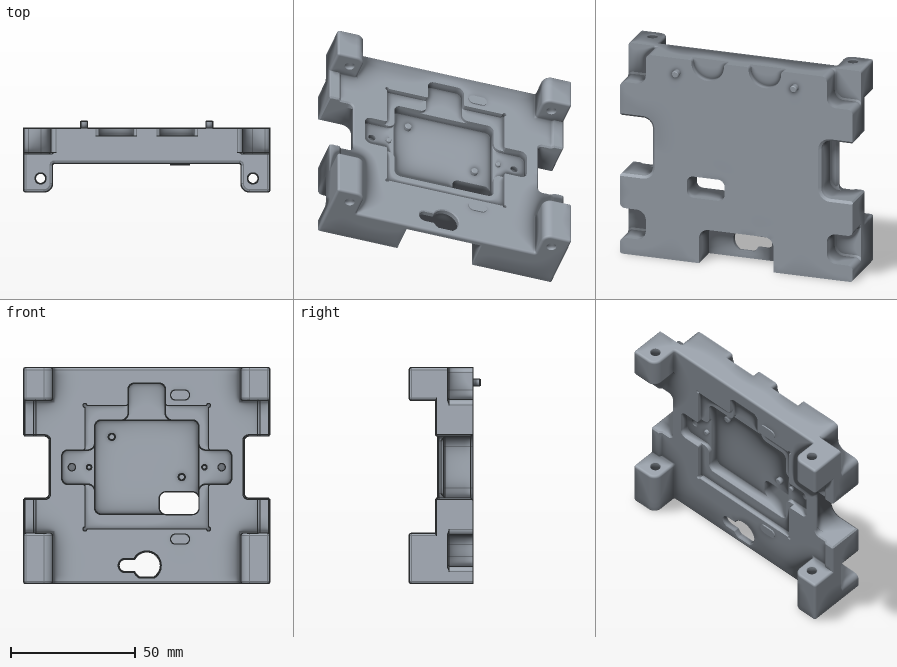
import cadquery as cq
import math

WIDTH = 98.6
HEIGHT = 86.6
POST_DEPTH = 25.6
PLATE_DEPTH = 14.2
HALF_W = WIDTH / 2
TOP = HEIGHT / 2
BOTTOM = -TOP
OVERHANG = 2.0
TOLERANCE = 0.01
MID_Z = 3.4

EDGE_ROUND = 1.0

POST_W = 11.6
UPPER_POST_H = 13.2
LOWER_POST_H = 20.2
POST_ROUND = 3.55
POST_BASE_ROUND = 0.6
POST_HOLE_X = 42.5
POST_HOLE_Y = -20.1
POST_HOLE_D = 4.0
HOLE_RIM = 0.2

STRIP_W = 5.0
STRIP_RISE = 1.0
STRIP_EDGE = 0.5

SLOT_H = 24.8
SLOT_POCKET_W = 13.6
SLOT_POCKET_ROUND = 4.0
SLOT_LIP_W = 10.3
SLOT_LIP_ROUND = 1.9
SLOT_EDGE = 0.6
SLOT_BACK_EDGE = 1.0
LIP_T = 2.3

NOTCH_W = 10.9
NOTCH_DEPTH = 10.4
NOTCH_CONCAVE = 3.9
NOTCH_CONVEX = 2.1
TIP_CHAMFER = 0.7
CORNER_NOTCH_H = 12.9
SIDE_NOTCH_TOP = -23.7
SIDE_NOTCH_H = 12.7

SCOOP_X = 12.1
SCOOP_R = 6.9
SCOOP_LIP = 1.2
SCOOP_DEPTH = 3.3

SQUARE = 49.5
SQUARE_DEPTH = 2.3
CORNER_RELIEF_D = 1.6
ARM_DEPTH = 3.7
ARM_ROUND = 2.7
ARM_CORNER_ROUND = 0.7
EAR_SPAN = 68.2
EAR_H = 13.9
TAB_W = 15.1
TAB_TOP = 37.1
POCKET_W = 41.8
POCKET_TOP = 22.3
POCKET_BOTTOM = -15.6
POCKET_DEPTH = 6.9
POCKET_ROUND = 2.7
FLOOR_CHAMFER = 0.2
WINDOW_W = 15.9
WINDOW_H = 9.1

POCKET_PEG_D = 2.9
POCKET_PEG_H = 1.8
POCKET_PEGS = [(-14.0, 15.5), (14.0, -0.6)]
EAR_PEG_D = 2.2
EAR_PEG_H = 1.2
EAR_PEG_X = 23.1
EAR_HOLE_D = 3.0
EAR_HOLE_X = 30.0
EAR_HOLE_DEPTH = 2.0
PEG_CHAMFER = 0.3

PAD_X = 13.3
PAD_L = 7.6
PAD_H = 4.0
PAD_RISE = 0.5
PAD_LEVELS = [32.2, -25.4]

KEY_Z = -36.0
KEY_R = 5.4
KEY_FLAT = 4.5
KEY_SLOT_R = 2.5
KEY_SLOT_X = -8.6
KEY_CHAMFER = 0.4
KEY_CAVITY_W = 31.6
KEY_CAVITY_H = 14.7

PIN_X = 25.0
PIN_Z = 37.3
PIN_D = 2.9
PIN_L = 2.9


def box(x0, x1, y0, y1, z0, z1):
    return cq.Workplane("XY").box(x1 - x0, y1 - y0, z1 - z0, centered=False).translate((x0, y0, z0))


def front_plane(y):
    """Sketch plane with local axes X and Z; extrusion runs towards the front (-Y)."""
    return cq.Workplane("XZ", origin=(0, y, 0))


def peg(x, z, y, diameter, length):
    """Peg standing towards the front from the level y, with a chamfered tip."""
    return front_plane(y).center(x, z).circle(diameter / 2).extrude(length).faces("<Y").chamfer(PEG_CHAMFER)


def post(z0, z1):
    body = box(-HALF_W, -HALF_W + POST_W, -POST_DEPTH, -PLATE_DEPTH / 2, z0, z1)
    return body.edges("<Y and >X").fillet(POST_ROUND)


def post_hole(z0, z1):
    hole = cq.Workplane("XY", origin=(-POST_HOLE_X, POST_HOLE_Y, z0)).circle(POST_HOLE_D / 2).extrude(z1 - z0)
    rim_plane = cq.Workplane("XY", origin=(-POST_HOLE_X, POST_HOLE_Y, z1 - HOLE_RIM))
    countersink = rim_plane.circle(POST_HOLE_D / 2).extrude(HOLE_RIM, taper=-45)
    return hole.union(countersink)


def half_block():
    """Plate with its two posts and the raised strip between them."""
    upper_z = TOP - UPPER_POST_H
    lower_z = BOTTOM + LOWER_POST_H
    block = box(-HALF_W, 0, -PLATE_DEPTH, 0, BOTTOM, TOP)
    block = block.union(post(upper_z, TOP)).union(post(BOTTOM, lower_z))

    between_posts = cq.selectors.BoxSelector(
        (-HALF_W + TOLERANCE, -PLATE_DEPTH - TOLERANCE, BOTTOM + TOLERANCE),
        (-TOLERANCE, -PLATE_DEPTH + TOLERANCE, TOP - TOLERANCE))
    block = block.edges(between_posts).fillet(POST_BASE_ROUND)

    end_outlines = block.faces("<Z or >Z").edges("not (>X or >Y)")
    outer_corners = block.edges("<X and <Y")
    facing_ends = block.edges(cq.selectors.BoxSelector(
        (-HALF_W - TOLERANCE, -POST_DEPTH - TOLERANCE, lower_z - TOLERANCE),
        (0, -PLATE_DEPTH - POST_BASE_ROUND - TOLERANCE, upper_z + TOLERANCE)))
    block = end_outlines.add(outer_corners).add(facing_ends).fillet(EDGE_ROUND)

    strip = box(-HALF_W, -HALF_W + STRIP_W, -PLATE_DEPTH - STRIP_RISE, -PLATE_DEPTH / 2,
                BOTTOM + LOWER_POST_H / 2, TOP - UPPER_POST_H / 2)
    strip = strip.edges("<Y and >X").chamfer(STRIP_RISE)
    strip = strip.edges("<Y and <X").chamfer(STRIP_EDGE)
    return block.union(strip)


def slot_cutter(width, corner, depth):
    """Side slot cutter from the back face; it overhangs the outer side so only inner corners are round."""
    outline = cq.Sketch().rect(2 * width, SLOT_H).vertices().fillet(corner)
    return front_plane(0).center(-HALF_W, MID_Z).placeSketch(outline).extrude(depth)


def slot_edges(depth_front, depth_back, reach):
    """Selector for the slot edges between two depths, out to a given reach from the outer side."""
    low = (-HALF_W - TOLERANCE, -depth_front - TOLERANCE, MID_Z - SLOT_H / 2 - TOLERANCE)
    high = (-HALF_W + reach + TOLERANCE, -depth_back + TOLERANCE, MID_Z + SLOT_H / 2 + TOLERANCE)
    return cq.selectors.BoxSelector(low, high, boundingbox=True)


def cut_side_slot(body):
    pocket_depth = PLATE_DEPTH - LIP_T
    strip_depth = PLATE_DEPTH + STRIP_RISE
    body = body.cut(slot_cutter(SLOT_LIP_W, SLOT_LIP_ROUND, POST_DEPTH))
    front_rim = slot_edges(strip_depth, PLATE_DEPTH, SLOT_LIP_W)
    outer_rim = slot_edges(strip_depth, 0, 0)
    body = body.edges(front_rim + outer_rim).chamfer(SLOT_EDGE)
    pocket = slot_cutter(SLOT_POCKET_W, SLOT_POCKET_ROUND, pocket_depth).faces("<Y").chamfer(TIP_CHAMFER)
    body = body.cut(pocket)
    lip_rim = cq.selectors.BoxSelector(
        (-HALF_W + SLOT_LIP_W - SLOT_LIP_ROUND - TOLERANCE, -pocket_depth - TOLERANCE, BOTTOM),
        (-HALF_W + SLOT_LIP_W + TOLERANCE, -pocket_depth + TOLERANCE, TOP), boundingbox=True)
    body = body.edges(lip_rim).chamfer(SLOT_BACK_EDGE)
    return body.edges(slot_edges(0, 0, SLOT_POCKET_W)).chamfer(SLOT_BACK_EDGE)


def corner_notch():
    floor = TOP - CORNER_NOTCH_H
    wall = -HALF_W + NOTCH_W
    outline = (
        front_plane(0)
        .moveTo(-HALF_W - OVERHANG, floor - NOTCH_CONVEX)
        .lineTo(-HALF_W, floor - NOTCH_CONVEX)
        .radiusArc((-HALF_W + NOTCH_CONVEX, floor), NOTCH_CONVEX)
        .lineTo(wall - NOTCH_CONCAVE, floor)
        .radiusArc((wall, floor + NOTCH_CONCAVE), -NOTCH_CONCAVE)
        .lineTo(wall, TOP - NOTCH_CONVEX)
        .radiusArc((wall + NOTCH_CONVEX, TOP), NOTCH_CONVEX)
        .lineTo(wall + NOTCH_CONVEX, TOP + OVERHANG)
        .lineTo(-HALF_W - OVERHANG, TOP + OVERHANG)
        .close()
    )
    return outline.extrude(NOTCH_DEPTH).faces("<Y").chamfer(TIP_CHAMFER)


def side_notch():
    roof = SIDE_NOTCH_TOP
    floor = roof - SIDE_NOTCH_H
    wall = -HALF_W + NOTCH_W
    outline = (
        front_plane(0)
        .moveTo(-HALF_W - OVERHANG, floor - NOTCH_CONVEX)
        .lineTo(-HALF_W, floor - NOTCH_CONVEX)
        .radiusArc((-HALF_W + NOTCH_CONVEX, floor), NOTCH_CONVEX)
        .lineTo(wall - NOTCH_CONCAVE, floor)
        .radiusArc((wall, floor + NOTCH_CONCAVE), -NOTCH_CONCAVE)
        .lineTo(wall, roof - NOTCH_CONCAVE)
        .radiusArc((wall - NOTCH_CONCAVE, roof), -NOTCH_CONCAVE)
        .lineTo(-HALF_W + NOTCH_CONVEX, roof)
        .radiusArc((-HALF_W, roof + NOTCH_CONVEX), NOTCH_CONVEX)
        .lineTo(-HALF_W - OVERHANG, roof + NOTCH_CONVEX)
        .close()
    )
    return outline.extrude(NOTCH_DEPTH).faces("<Y").chamfer(TIP_CHAMFER)


def scoop():
    level = TOP - SCOOP_LIP
    outer = SCOOP_R + SCOOP_LIP
    return (
        front_plane(0).center(-SCOOP_X, 0)
        .moveTo(-outer, TOP + OVERHANG)
        .lineTo(-outer, TOP)
        .radiusArc((-SCOOP_R, level), SCOOP_LIP)
        .threePointArc((0, level - SCOOP_R), (SCOOP_R, level))
        .radiusArc((outer, TOP), SCOOP_LIP)
        .lineTo(outer, TOP + OVERHANG)
        .close()
        .extrude(SCOOP_DEPTH)
    )


def left_half():
    half = half_block()
    half = half.cut(post_hole(TOP - UPPER_POST_H, TOP))
    half = half.cut(post_hole(BOTTOM, BOTTOM + LOWER_POST_H))
    half = cut_side_slot(half)
    half = half.cut(corner_notch()).cut(side_notch()).cut(scoop())
    pin = front_plane(PIN_L).center(-PIN_X, PIN_Z).circle(PIN_D / 2).extrude(2 * PIN_L)
    return half.union(pin.faces(">Y").chamfer(PEG_CHAMFER))


def recess(x0, x1, z0, z1, depth):
    """Rectangular pocket cut into the front of the plate."""
    return box(x0, x1, -PLATE_DEPTH - OVERHANG, -PLATE_DEPTH + depth, z0, z1)


def cut_recess(body):
    square = recess(-SQUARE / 2, SQUARE / 2, MID_Z - SQUARE / 2, MID_Z + SQUARE / 2, SQUARE_DEPTH)
    reliefs = (
        front_plane(-PLATE_DEPTH + SQUARE_DEPTH).center(0, MID_Z)
        .rect(SQUARE, SQUARE, forConstruction=True).vertices()
        .circle(CORNER_RELIEF_D / 2).extrude(SQUARE_DEPTH)
    )
    body = body.cut(square).cut(reliefs)

    pocket_mid = (POCKET_TOP + POCKET_BOTTOM) / 2
    core = recess(-POCKET_W / 2, POCKET_W / 2, POCKET_BOTTOM, POCKET_TOP, ARM_DEPTH)
    ears = recess(-EAR_SPAN / 2, EAR_SPAN / 2, MID_Z - EAR_H / 2, MID_Z + EAR_H / 2, ARM_DEPTH)
    tab = recess(-TAB_W / 2, TAB_W / 2, pocket_mid, TAB_TOP, ARM_DEPTH)
    arms = core.union(ears).union(tab).edges("|Y").fillet(ARM_ROUND)
    arms = arms.faces(">Y").chamfer(FLOOR_CHAMFER)
    pocket = recess(-POCKET_W / 2, POCKET_W / 2, POCKET_BOTTOM, POCKET_TOP, POCKET_DEPTH)
    pocket = pocket.edges("|Y").fillet(POCKET_ROUND).faces(">Y").chamfer(FLOOR_CHAMFER)
    window = recess(POCKET_W / 2 - WINDOW_W, POCKET_W / 2, POCKET_BOTTOM, POCKET_BOTTOM + WINDOW_H,
                    PLATE_DEPTH + OVERHANG)
    window = window.edges("|Y").fillet(POCKET_ROUND)
    body = body.cut(arms).cut(pocket).cut(window)

    ear_top = MID_Z + EAR_H / 2
    ear_bottom = MID_Z - EAR_H / 2
    square_top = MID_Z + SQUARE / 2
    for x, z in ((SQUARE / 2, ear_top), (SQUARE / 2, ear_bottom), (TAB_W / 2, square_top)):
        for side in (-1, 1):
            corner = cq.selectors.BoxSelector(
                (side * x - TOLERANCE, -PLATE_DEPTH - TOLERANCE, z - TOLERANCE),
                (side * x + TOLERANCE, -PLATE_DEPTH + SQUARE_DEPTH, z + TOLERANCE))
            body = body.edges(corner).fillet(ARM_CORNER_ROUND)
    return body


def add_pegs(body):
    for x, z in POCKET_PEGS:
        body = body.union(peg(x, z, -PLATE_DEPTH + POCKET_DEPTH, POCKET_PEG_D, POCKET_PEG_H))
    ear_floor = -PLATE_DEPTH + ARM_DEPTH
    for side in (-1, 1):
        body = body.union(peg(side * EAR_PEG_X, MID_Z, ear_floor, EAR_PEG_D, EAR_PEG_H))
        hole = front_plane(ear_floor + EAR_HOLE_DEPTH).center(side * EAR_HOLE_X, MID_Z)
        body = body.cut(hole.circle(EAR_HOLE_D / 2).extrude(EAR_HOLE_DEPTH))
    return body


def add_pads(body):
    for z in PAD_LEVELS:
        body = body.union(front_plane(-PLATE_DEPTH).center(PAD_X, z).slot2D(PAD_L, PAD_H).extrude(PAD_RISE))
    return body


def cut_keyhole(body):
    """Keyhole through a thin front wall, with a cavity behind it that is open at the back and bottom."""
    cavity = box(-KEY_CAVITY_W / 2, KEY_CAVITY_W / 2, -PLATE_DEPTH + LIP_T, OVERHANG,
                 BOTTOM - OVERHANG, BOTTOM + KEY_CAVITY_H)
    body = body.cut(cavity.edges("|Y and >Z").fillet(SLOT_POCKET_ROUND))

    half_flat = math.sqrt(KEY_R ** 2 - KEY_FLAT ** 2)
    for length, taper in ((LIP_T, 0), (KEY_CHAMFER, -45)):
        plane = front_plane(-PLATE_DEPTH + length)
        head = (
            plane.center(0, KEY_Z)
            .moveTo(-half_flat, -KEY_FLAT)
            .lineTo(half_flat, -KEY_FLAT)
            .threePointArc((0, KEY_R), (-half_flat, -KEY_FLAT))
            .close()
            .extrude(length, taper=taper)
        )
        tail = plane.center(KEY_SLOT_X / 2, KEY_Z).slot2D(-KEY_SLOT_X + 2 * KEY_SLOT_R, 2 * KEY_SLOT_R)
        body = body.cut(head).cut(tail.extrude(length, taper=taper))
    return body


half = left_half()
result = half.union(half.mirror("YZ"))
result = cut_recess(result)
result = add_pegs(result)
result = add_pads(result)
result = cut_keyhole(result)